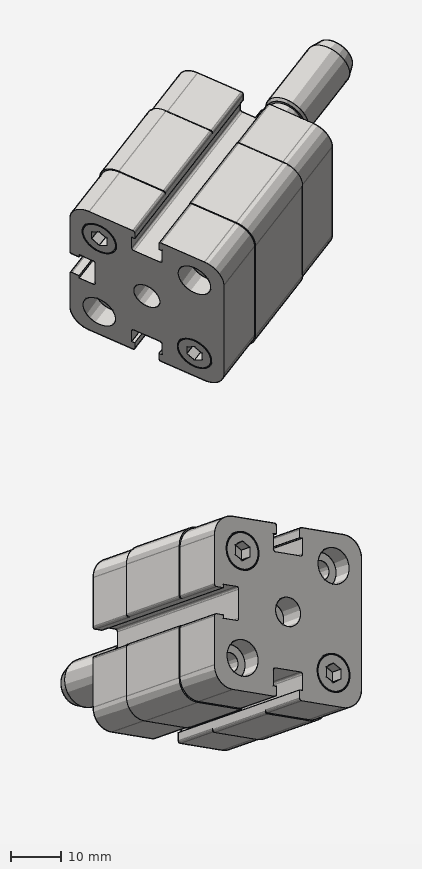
import cadquery as cq

TOTAL_LENGTH = 74.5
BODY_LENGTH = 43.0
CAP_LENGTH = 12.15
BARREL_LENGTH = BODY_LENGTH - 2 * CAP_LENGTH
BARREL_WIDTH = 36.1
CAP_WIDTH = 35.7
CORNER_RADIUS = 4.5

SLOT_MOUTH_WIDTH = 5.6
SLOT_INNER_WIDTH = 7.0
SLOT_DEPTH = 6.1
SLOT_LIP_THICKNESS = 2.4
SLOT_FLOOR = BARREL_WIDTH / 2 - SLOT_DEPTH
SLOT_SHOULDER = BARREL_WIDTH / 2 - SLOT_LIP_THICKNESS
SLOT_ROUND = 0.5
SLOT_ANGLES = (0, 90, 180)

BOLT_OFFSET = 11.0
MOUNT_HOLE_DIAMETER = 4.1
MOUNT_BORE_DIAMETER = 7.5
MOUNT_BORE_DEPTH = 4.6
SCREW_BORE_DIAMETER = 8.0
SCREW_HEAD_DIAMETER = 7.5
SCREW_BORE_DEPTH = 5.0
SOCKET_ACROSS_FLATS = 3.5
SOCKET_DEPTH = 3.0
HEX_SIDES = 6
CENTER_HOLE_DIAMETER = 6.0
CENTER_HOLE_DEPTH = 5.95

ROD_RADIUS = 10.0 / 2
NECK_RADIUS = 7.9 / 2
NECK_START = 52.6
NECK_LENGTH = 3.0
SHOULDER_CHAMFER = 0.2
SHOULDER_CHAMFER_LENGTH = 0.6
THREAD_RUNOUT = 0.45
TIP_RADIUS = 8.2 / 2
TIP_LENGTH = 2.7
ROD_ACROSS_FLATS = 8.0
FLAT_LENGTH = 3.4


def y_plane(y):
    """Sketch plane across the axis with local axes X and Z; extrusion runs toward -Y."""
    return cq.Workplane("XZ", origin=(0, y, 0))


def slot_cutter(width, start, length):
    """T-slot opening to +Z in a body section of the given width, with rounded edges."""
    top = width / 2
    mouth = SLOT_MOUTH_WIDTH / 2
    inner = SLOT_INNER_WIDTH / 2
    r = SLOT_ROUND
    return (
        y_plane(start + length)
        .moveTo(-mouth - r, top)
        .radiusArc((-mouth, top - r), r)
        .lineTo(-mouth, SLOT_SHOULDER)
        .lineTo(-inner, SLOT_SHOULDER)
        .lineTo(-inner, SLOT_FLOOR + r)
        .radiusArc((-inner + r, SLOT_FLOOR), -r)
        .lineTo(inner - r, SLOT_FLOOR)
        .radiusArc((inner, SLOT_FLOOR + r), -r)
        .lineTo(inner, SLOT_SHOULDER)
        .lineTo(mouth, SLOT_SHOULDER)
        .lineTo(mouth, top - r)
        .radiusArc((mouth + r, top), r)
        .close()
        .extrude(length)
    )


def body_section(width, start, length):
    """Square length of the body with rounded corners and three T-slots."""
    section = y_plane(start + length).rect(width, width).extrude(length)
    section = section.edges("|Y").fillet(CORNER_RADIUS)
    cutter = slot_cutter(width, start, length)
    for angle in SLOT_ANGLES:
        section = section.cut(cutter.rotate((0, 0, 0), (0, -1, 0), angle))
    return section


def front_hole(x, z, diameter, depth):
    """Round cutter entering the front face."""
    return y_plane(depth).center(x, z).circle(diameter / 2).extrude(depth)


def screw_head(x, z):
    """Socket screw head, flush with the front face and seated on the bore floor."""
    head = front_hole(x, z, SCREW_HEAD_DIAMETER, SCREW_BORE_DEPTH)
    socket = (
        y_plane(SOCKET_DEPTH)
        .center(x, z)
        .polygon(HEX_SIDES, SOCKET_ACROSS_FLATS, circumscribed=True)
        .extrude(SOCKET_DEPTH)
    )
    return head.cut(socket)


def piston_rod():
    """Turned rod with a shoulder, a thread relief neck and a tapered tip."""
    neck_end = NECK_START + NECK_LENGTH
    root = BODY_LENGTH - CAP_LENGTH
    rod = (
        cq.Workplane("XY")
        .moveTo(0, root)
        .lineTo(ROD_RADIUS, root)
        .lineTo(ROD_RADIUS, NECK_START - SHOULDER_CHAMFER_LENGTH)
        .lineTo(ROD_RADIUS - SHOULDER_CHAMFER, NECK_START)
        .lineTo(NECK_RADIUS, NECK_START)
        .lineTo(NECK_RADIUS, neck_end - THREAD_RUNOUT)
        .lineTo(NECK_RADIUS + THREAD_RUNOUT, neck_end - THREAD_RUNOUT)
        .lineTo(ROD_RADIUS, neck_end)
        .lineTo(ROD_RADIUS, TOTAL_LENGTH - TIP_LENGTH)
        .lineTo(TIP_RADIUS, TOTAL_LENGTH)
        .lineTo(0, TOTAL_LENGTH)
        .close()
        .revolve(360, (0, 0, 0), (0, 1, 0))
    )
    return rod.cut(wrench_flat(1)).cut(wrench_flat(-1))


def wrench_flat(side):
    """Cutter for one wrench flat behind the neck, running out at 45 degrees."""
    flat = ROD_ACROSS_FLATS / 2
    depth = ROD_RADIUS - flat
    flat_start = NECK_START - FLAT_LENGTH
    return (
        cq.Workplane("XY", origin=(0, 0, -ROD_RADIUS))
        .moveTo(side * flat, NECK_START)
        .lineTo(side * flat, flat_start)
        .lineTo(side * ROD_RADIUS, flat_start - depth)
        .lineTo(side * ROD_RADIUS, NECK_START)
        .close()
        .extrude(2 * ROD_RADIUS)
    )


body = body_section(CAP_WIDTH, 0, CAP_LENGTH)
body = body.union(body_section(BARREL_WIDTH, CAP_LENGTH, BARREL_LENGTH))
body = body.union(body_section(CAP_WIDTH, CAP_LENGTH + BARREL_LENGTH, CAP_LENGTH))

body = body.cut(front_hole(0, 0, CENTER_HOLE_DIAMETER, CENTER_HOLE_DEPTH))

for side in (-1, 1):
    place = side * BOLT_OFFSET
    body = body.cut(front_hole(place, place, MOUNT_HOLE_DIAMETER, BODY_LENGTH))
    body = body.cut(front_hole(place, place, MOUNT_BORE_DIAMETER, MOUNT_BORE_DEPTH))
    body = body.cut(front_hole(place, -place, SCREW_BORE_DIAMETER, SCREW_BORE_DEPTH))
    body = body.union(screw_head(place, -place))

result = body.union(piston_rod())